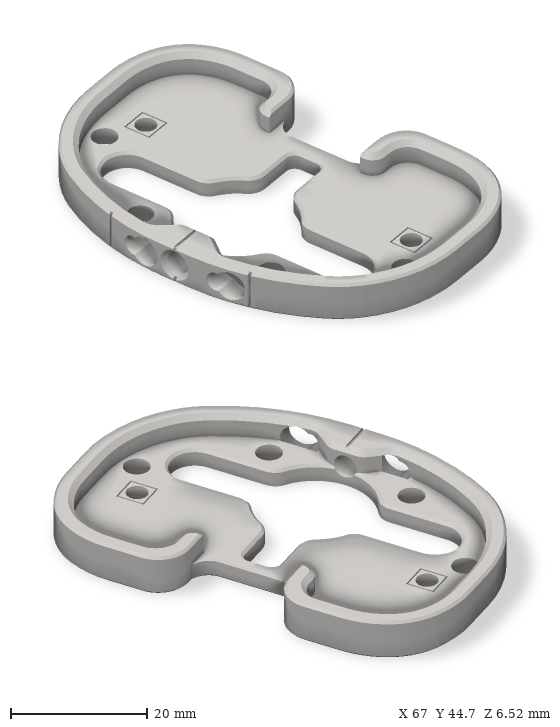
import cadquery as cq
import math

HALF_X = 33.48
HALF_Y = 22.325
HEIGHT = 6.52
FLOOR_Z = 2.85
OUTER_CHAMFER = 0.4

SIDE_NORMAL = 180
LOWER_ARCS = [(22.3, 223), (18.9, 239.5), (41.0, 270)]
UPPER_ARCS = [(16.5, 155), (12.2, 114.5), (15.6, 90)]

GAP_HALF = 8.2
NECK_Y = 13.85
NECK_RADIUS = 3.1
HORN_RADIUS = 5.2
HORN_INNER_RADIUS = 3.3

WALL = 2.95
POCKET_CHAMFER = 0.85
HORN_END_Y = 12.6
HORN_END_RADIUS = 2.3

BOSS_BACK_Y = -16.2
BOSS_BACK_HALF = 2.7
BOSS_ROOT_Y = -20.5
BOSS_ROOT_HALF = 8.1
BOSS_FILLET = 2.1
BOSS_FOOT_FILLET = 2.5
BOSS_FOOT_X = 6.37
BOSS_FOOT_Y = -19.1

SLOT_Y = -6.67
SLOT_HALF_WIDTH = 3.95
SLOT_HALF_LENGTH = 23.9
OPENING_RADIUS = 9.4
STEM_HALF = 2.95
STEM_TOP_Y = 11.1
STEM_CORNER_RADIUS = 1.5
OPENING_BLEND = 3.0
OPENING_CHAMFER = 0.45

SCREW_HOLES = [(27.3, -2.3), (11.85, -14.6)]
SCREW_DIAMETER = 4.1
FRAME_HOLE = (24.1, 3.6)
FRAME_HOLE_DIAMETER = 3.4
FRAME_OUTER = 4.6
FRAME_INNER = 4.1
FRAME_DEPTH = 0.3

FRONT_HOLE_Z = 3.26
CENTRE_HOLE_RADIUS = 1.85
COUNTERSINK_RADIUS = 2.57
KEYHOLE_CENTRES = (-5.6, 9.55)
KEYHOLE_RADIUS = 2.45
KEYHOLE_TAIL_RADIUS = 1.6
KEYHOLE_TAIL_OFFSET = 2.25
KEYHOLE_END_Y = -18.08

GROOVE_WIDTH = 0.5
GROOVE_DEPTH = 0.35
SIDE_GROOVE_X = 12.6
SIDE_GROOVE_Y = -20.95

CLEAR = 1.0


def mirror_x(point):
    return (-point[0], point[1])


def rise(arcs):
    """Change in Y along a chain of tangent arcs that starts at the straight side."""
    total = 0
    normal = SIDE_NORMAL
    for radius, end_normal in arcs:
        total += radius * (math.sin(math.radians(end_normal)) - math.sin(math.radians(normal)))
        normal = end_normal
    return total


def arc_points(arcs, start_y, inset):
    """Points start, middle, end, middle, end ... of a chain of tangent arcs leaving the left side."""
    x, y = -HALF_X, start_y
    normal = math.radians(SIDE_NORMAL)
    points = [(x + inset, y)]
    for radius, end_degrees in arcs:
        end_normal = math.radians(end_degrees)
        centre_x = x - radius * math.cos(normal)
        centre_y = y - radius * math.sin(normal)
        for angle in ((normal + end_normal) / 2, end_normal):
            reach = radius - inset
            points.append((centre_x + reach * math.cos(angle), centre_y + reach * math.sin(angle)))
        x = centre_x + radius * math.cos(end_normal)
        y = centre_y + radius * math.sin(end_normal)
        normal = end_normal
    return points


def add_arcs(path, points):
    """Draws a line to the first point, then arcs through the following pairs of points."""
    path = path.lineTo(*points[0])
    for middle, end in zip(points[1::2], points[2::2]):
        path = path.threePointArc(middle, end)
    return path


def outline(inset, horn_radius, gap_bottom):
    """Closed outline, moved in by inset, with the gap between the horns reaching down to gap_bottom."""
    gap_x = GAP_HALF + inset
    back_y = HALF_Y - inset
    upper = arc_points(UPPER_ARCS, HALF_Y - rise(UPPER_ARCS), inset)
    lower = arc_points(LOWER_ARCS, -HALF_Y - rise(LOWER_ARCS), inset)
    half = (
        cq.Workplane("XY")
        .moveTo(0, gap_bottom)
        .lineTo(-gap_x, gap_bottom)
        .lineTo(-gap_x, back_y - horn_radius)
        .radiusArc((-gap_x - horn_radius, back_y), -horn_radius)
    )
    half = add_arcs(half, upper[::-1])
    half = add_arcs(half, lower)
    return half.lineTo(0, -HALF_Y + inset).mirrorY()


def box(x0, x1, y0, y1, z0, z1):
    return cq.Workplane("XY").box(x1 - x0, y1 - y0, z1 - z0, centered=False).translate((x0, y0, z0))


def near(x, y, reach=0.1):
    """Selects upright edges close to +/- x at the given y, away from the ends of the body."""
    low, high = OUTER_CHAMFER, HEIGHT - OUTER_CHAMFER
    left = cq.selectors.BoxSelector((-x - reach, y - reach, low), (-x + reach, y + reach, high))
    right = cq.selectors.BoxSelector((x - reach, y - reach, low), (x + reach, y + reach, high))
    return left + right


def chamfer_wire(body, wire, size):
    return body.newObject(wire.Edges()).chamfer(size)


def make_pocket():
    """Solid that fills the inside of the rim above the plate."""
    depth = HEIGHT - FLOOR_Z
    pocket = outline(WALL, HORN_INNER_RADIUS, HORN_END_Y).extrude(depth)
    pocket = pocket.edges(near(GAP_HALF + WALL, HORN_END_Y)).edges("|Z").fillet(HORN_END_RADIUS)
    boss = (
        cq.Workplane("XY")
        .polyline([
            (-BOSS_ROOT_HALF, BOSS_ROOT_Y),
            (-BOSS_BACK_HALF, BOSS_BACK_Y),
            (BOSS_BACK_HALF, BOSS_BACK_Y),
            (BOSS_ROOT_HALF, BOSS_ROOT_Y),
        ])
        .close()
        .extrude(depth)
        .edges(near(BOSS_BACK_HALF, BOSS_BACK_Y))
        .edges("|Z")
        .fillet(BOSS_FILLET)
    )
    pocket = pocket.cut(boss)
    pocket = pocket.edges(near(BOSS_FOOT_X, BOSS_FOOT_Y, reach=0.5)).fillet(BOSS_FOOT_FILLET)
    return pocket.translate((0, 0, FLOOR_Z))


def make_opening():
    """Slot, round middle and upright stem that together pierce the plate."""
    length = 2 * CLEAR + HEIGHT
    slot = (
        cq.Workplane("XY")
        .center(0, SLOT_Y)
        .slot2D(2 * SLOT_HALF_LENGTH, 2 * SLOT_HALF_WIDTH)
        .extrude(length)
    )
    middle = cq.Workplane("XY").center(0, SLOT_Y).circle(OPENING_RADIUS).extrude(length)
    stem = box(-STEM_HALF, STEM_HALF, SLOT_Y, STEM_TOP_Y, 0, length)
    stem = stem.edges("|Z and >Y").fillet(STEM_CORNER_RADIUS)
    opening = slot.union(middle).union(stem)
    slot_joint_x = math.sqrt(OPENING_RADIUS**2 - SLOT_HALF_WIDTH**2)
    stem_joint_y = SLOT_Y + math.sqrt(OPENING_RADIUS**2 - STEM_HALF**2)
    joints = (
        near(slot_joint_x, SLOT_Y - SLOT_HALF_WIDTH)
        + near(slot_joint_x, SLOT_Y + SLOT_HALF_WIDTH)
        + near(STEM_HALF, stem_joint_y)
    )
    return opening.edges(joints).fillet(OPENING_BLEND).translate((0, 0, -CLEAR))


def make_opening_flare(opening):
    """Cutter for the chamfer where the opening meets the plate, kept clear of the boss."""
    slab = box(-HALF_X, HALF_X, BOSS_BACK_Y, HALF_Y, 0, FLOOR_Z)
    margin_slab = box(-HALF_X, HALF_X, -HALF_Y, HALF_Y, 0, FLOOR_Z).cut(opening)
    chamfered = chamfer_wire(margin_slab, margin_slab.faces(">Z").val().innerWires()[0], OPENING_CHAMFER)
    return slab.cut(chamfered)


def make_plate_holes():
    """Round screw holes and the framed holes, on both sides."""
    depth = HEIGHT + 2 * CLEAR
    base = cq.Workplane("XY").workplane(offset=-CLEAR)
    screw_points = SCREW_HOLES + [mirror_x(p) for p in SCREW_HOLES]
    frame_points = [FRAME_HOLE, mirror_x(FRAME_HOLE)]
    holes = base.pushPoints(screw_points).circle(SCREW_DIAMETER / 2).extrude(depth)
    holes = holes.union(base.pushPoints(frame_points).circle(FRAME_HOLE_DIAMETER / 2).extrude(depth))
    groove_plane = cq.Workplane("XY").workplane(offset=FLOOR_Z - FRAME_DEPTH)
    frame = groove_plane.pushPoints(frame_points).rect(FRAME_OUTER, FRAME_OUTER).extrude(FRAME_DEPTH)
    frame = frame.cut(groove_plane.pushPoints(frame_points).rect(FRAME_INNER, FRAME_INNER).extrude(FRAME_DEPTH))
    return holes.union(frame)


def front_bore(x, radius, end_y):
    """Cylinder along Y from in front of the body to end_y."""
    start_y = -HALF_Y - CLEAR
    start = cq.Vector(x, start_y, FRONT_HOLE_Z)
    return cq.Workplane(cq.Solid.makeCylinder(radius, end_y - start_y, start, cq.Vector(0, 1, 0)))


def make_front_holes():
    """Countersunk centre bore and the two keyholes in the front wall."""
    holes = front_bore(0, CENTRE_HOLE_RADIUS, SLOT_Y)
    countersink = cq.Solid.makeCone(
        COUNTERSINK_RADIUS,
        CENTRE_HOLE_RADIUS,
        COUNTERSINK_RADIUS - CENTRE_HOLE_RADIUS,
        cq.Vector(0, -HALF_Y, FRONT_HOLE_Z),
        cq.Vector(0, 1, 0),
    )
    holes = holes.union(cq.Workplane(countersink))
    for x in KEYHOLE_CENTRES:
        holes = holes.union(front_bore(x, KEYHOLE_RADIUS, KEYHOLE_END_Y))
        holes = holes.union(front_bore(x - KEYHOLE_TAIL_OFFSET, KEYHOLE_TAIL_RADIUS, KEYHOLE_END_Y))
    return holes


def make_neck_cut():
    """Removes the plate between the horns down to the neck, with rounded corners."""
    neck = box(-GAP_HALF, GAP_HALF, NECK_Y, HALF_Y - HORN_RADIUS, -CLEAR, HEIGHT + CLEAR)
    return neck.edges("|Z and <Y").fillet(NECK_RADIUS)


def make_horn_gap():
    """Frees the horn ends above the plate, flared at the top to chamfer the horn edges."""
    top = HEIGHT + CLEAR
    flare = OUTER_CHAMFER + CLEAR
    start_y = HALF_Y - HORN_RADIUS
    return (
        cq.Workplane("XZ", origin=(0, start_y, 0))
        .polyline([
            (-GAP_HALF, FLOOR_Z),
            (GAP_HALF, FLOOR_Z),
            (GAP_HALF, HEIGHT - OUTER_CHAMFER),
            (GAP_HALF + flare, top),
            (-GAP_HALF - flare, top),
            (-GAP_HALF, HEIGHT - OUTER_CHAMFER),
        ])
        .close()
        .extrude(start_y)
    )


def make_grooves():
    """Narrow marks: along the top of the boss and upright on the front face."""
    half = GROOVE_WIDTH / 2
    front = -HALF_Y
    top = HEIGHT + CLEAR
    grooves = box(-half, half, front - CLEAR, SLOT_Y, HEIGHT - GROOVE_DEPTH, top)
    grooves = grooves.union(box(-half, half, front - CLEAR, front + GROOVE_DEPTH, -CLEAR, top))
    for side in (-1, 1):
        x = side * SIDE_GROOVE_X
        grooves = grooves.union(
            box(x - half, x + half, front - CLEAR, SIDE_GROOVE_Y + GROOVE_DEPTH, -CLEAR, top)
        )
    return grooves


def make_part():
    body = outline(0, HORN_RADIUS, HALF_Y - HORN_RADIUS - CLEAR).extrude(HEIGHT).cut(make_pocket())
    body = chamfer_wire(body, body.faces(">Z").val().innerWires()[0], POCKET_CHAMFER)
    body = chamfer_wire(body, body.faces(">Z").val().outerWire(), OUTER_CHAMFER)
    body = body.cut(make_neck_cut()).cut(make_horn_gap())
    body = chamfer_wire(body, body.faces("<Z").val().outerWire(), OUTER_CHAMFER)
    opening = make_opening()
    flare = make_opening_flare(opening)
    for cutter in (opening, flare, make_plate_holes(), make_front_holes(), make_grooves()):
        body = body.cut(cutter)
    return body


result = make_part()